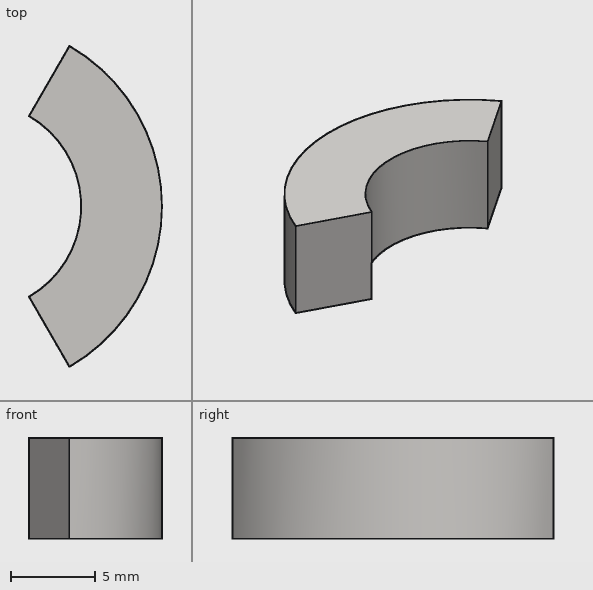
import cadquery as cq
import math

length = 19.05
height = 6.0
inner_radius = 6.2
half_angle = math.radians(60)
outer_radius = length / 2 / math.sin(half_angle)


def point_on_arc(radius, angle):
    """Point at the given radius and angle from +X, about the ring axis."""
    return (radius * math.cos(angle), radius * math.sin(angle))


result = (
    cq.Workplane("XY")
    .moveTo(*point_on_arc(inner_radius, -half_angle))
    .lineTo(*point_on_arc(outer_radius, -half_angle))
    .threePointArc(point_on_arc(outer_radius, 0), point_on_arc(outer_radius, half_angle))
    .lineTo(*point_on_arc(inner_radius, half_angle))
    .threePointArc(point_on_arc(inner_radius, 0), point_on_arc(inner_radius, -half_angle))
    .close()
    .extrude(height)
)